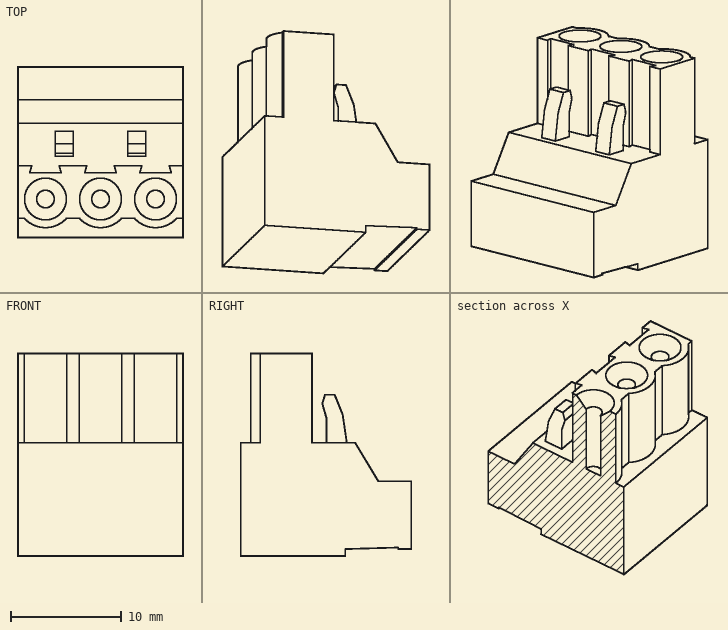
import cadquery as cq
import math


pole_count = 3
pole_pitch = 5.0
width = pole_count * pole_pitch
pole_xs = [(i - (pole_count - 1) / 2) * pole_pitch for i in range(pole_count)]

depth = 15.5
body_top = 10.3
shelf_top = 6.8
ramp_low_y = 12.5
ramp_high_y = 10.4
foot_back_y = 9.5
foot_height = 0.62
lip_front_y = 14.3
lip_height = 0.14

total_height = 18.4
tower_front_y = 1.77
tower_back_y = 6.5
tower_height = total_height - body_top

well_y = 3.5
lobe_radius = 2.6
cone_radius = 1.9
well_radius = 0.8
cone_depth = cone_radius - well_radius
well_floor = body_top

groove_depth = 0.6
groove_mouth_width = 2.5
groove_floor_width = 2.86

latch_width = 1.66
latch_spacing = 6.6
latch_root_back_y = 9.65
latch_root_front_y = 7.78
latch_bend_y = 9.27
latch_bend_z = 12.86
latch_tip_back_y = 8.54
latch_tip_front_y = 7.65
latch_tip_z = 14.65
latch_nose_y = 7.4
latch_nose_z = 13.84
latch_neck_z = 12.54


def extrude_across(points, length, center_x):
    """Extrude a (y, z) outline along X, centred on center_x."""
    start = cq.Workplane("YZ", origin=(center_x - length / 2, 0, 0))
    return start.polyline(points).close().extrude(length)


def make_body():
    outline = [
        (0, 0),
        (0, body_top),
        (ramp_high_y, body_top),
        (ramp_low_y, shelf_top),
        (depth, shelf_top),
        (depth, foot_height),
        (lip_front_y, foot_height),
        (lip_front_y, foot_height + lip_height),
        (foot_back_y, foot_height),
        (foot_back_y, 0),
    ]
    return extrude_across(outline, width, 0)


def make_tower():
    """Rectangular tower with one lobe per pole bulging from its front."""
    tower_depth = tower_back_y - tower_front_y
    base = cq.Workplane("XY", origin=(0, 0, body_top))
    tower = (
        base.center(0, tower_front_y + tower_depth / 2)
        .rect(width, tower_depth)
        .extrude(tower_height)
    )
    lobe_half_chord = math.sqrt(lobe_radius**2 - (well_y - tower_front_y) ** 2)
    for x in pole_xs:
        lobe = (
            base.moveTo(x - lobe_half_chord, tower_front_y)
            .threePointArc((x, well_y - lobe_radius), (x + lobe_half_chord, tower_front_y))
            .lineTo(x + lobe_half_chord, well_y)
            .lineTo(x - lobe_half_chord, well_y)
            .close()
            .extrude(tower_height)
        )
        tower = tower.union(lobe)
    return tower


def make_groove(x):
    floor_y = tower_back_y - groove_depth
    outline = [
        (x - groove_mouth_width / 2, tower_back_y),
        (x + groove_mouth_width / 2, tower_back_y),
        (x + groove_floor_width / 2, floor_y),
        (x - groove_floor_width / 2, floor_y),
    ]
    base = cq.Workplane("XY", origin=(0, 0, body_top))
    return base.polyline(outline).close().extrude(tower_height)


def make_well(x):
    """Funnel mouth running into a straight blind well."""
    half_section = [
        (0, well_floor),
        (well_radius, well_floor),
        (well_radius, total_height - cone_depth),
        (cone_radius, total_height),
        (0, total_height),
    ]
    axis_plane = cq.Workplane("XZ", origin=(x, well_y, 0))
    return axis_plane.polyline(half_section).close().revolve(360, (0, 0), (0, 1))


def make_latch(x):
    outline = [
        (latch_root_back_y, body_top),
        (latch_bend_y, latch_bend_z),
        (latch_tip_back_y, latch_tip_z),
        (latch_tip_front_y, latch_tip_z),
        (latch_nose_y, latch_nose_z),
        (latch_root_front_y, latch_neck_z),
        (latch_root_front_y, body_top),
    ]
    return extrude_across(outline, latch_width, x)


result = make_body().union(make_tower())
for pole_x in pole_xs:
    result = result.cut(make_groove(pole_x)).cut(make_well(pole_x))
for latch_x in (-latch_spacing / 2, latch_spacing / 2):
    result = result.union(make_latch(latch_x))